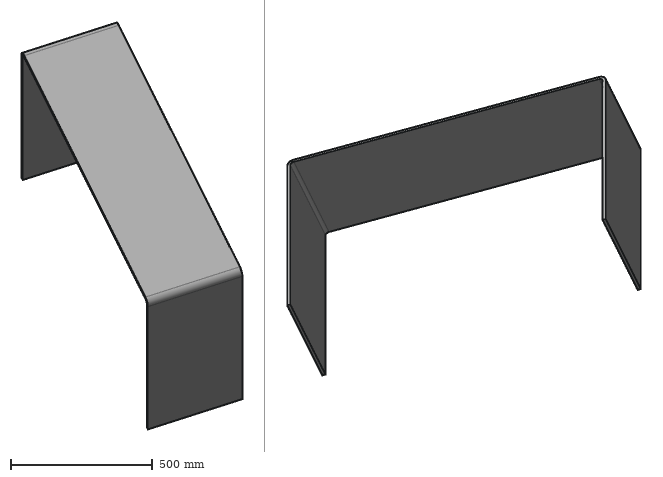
import cadquery as cq

length = 1200.0
depth = 360.0
height = 750.0

thickness = 12.0
outer_bend_radius = 25.0
inner_bend_radius = outer_bend_radius - thickness


def rounded_top_block(width, block_height, bend_radius):
    """Block standing on Z = 0, centred in X and Y, with its two upper side corners rounded."""
    block = cq.Workplane("XY").box(width, depth, block_height, centered=(True, True, False))
    return block.edges("|Y and >Z").fillet(bend_radius)


outer_block = rounded_top_block(length, height, outer_bend_radius)
inner_block = rounded_top_block(length - 2 * thickness, height - thickness, inner_bend_radius)

result = outer_block.cut(inner_block)